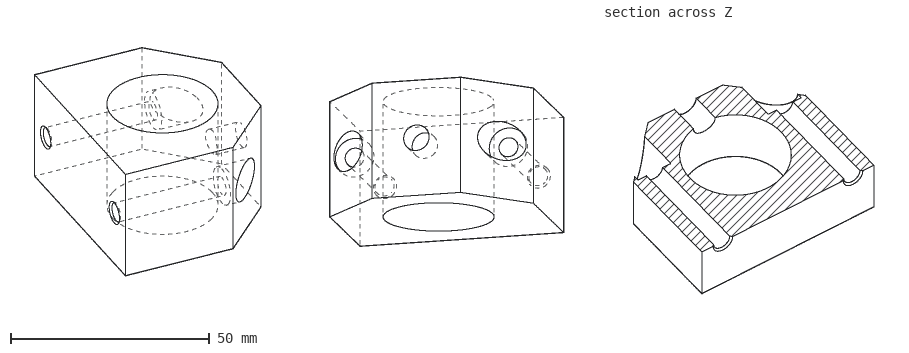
import cadquery as cq

width = 53.0
depth = 45.0
height = 30.0
corner_cut = 15.0

bore_diameter = 28.0
bore_y = 23.0

screw_spacing = 40.0
screw_diameter = 4.95
screw_mouth_diameter = 6.0
screw_mouth_chamfer = (screw_mouth_diameter - screw_diameter) / 2
head_diameter = 10.0
head_seat_y = depth - corner_cut

cross_diameter = 6.6

mid_height = height / 2


def cylinder_along_y(diameter, x, y_start, y_end):
    """Cylinder parallel to Y at mid height, between two Y positions."""
    return cq.Workplane(
        cq.Solid.makeCylinder(
            diameter / 2, y_end - y_start, cq.Vector(x, y_start, mid_height), cq.Vector(0, 1, 0)
        )
    )


def screw_hole(x):
    """Through hole with a chamfered front mouth and a head recess open to the back."""
    mouth = cq.Workplane(
        cq.Solid.makeCone(
            screw_mouth_diameter / 2,
            screw_diameter / 2,
            screw_mouth_chamfer,
            cq.Vector(x, 0, mid_height),
            cq.Vector(0, 1, 0),
        )
    )
    shank = cylinder_along_y(screw_diameter, x, 0, depth)
    head = cylinder_along_y(head_diameter, x, head_seat_y, depth)
    return shank.union(mouth).union(head)


block = (
    cq.Workplane("XY")
    .box(width, depth, height, centered=(True, False, False))
    .edges("|Z and >Y")
    .chamfer(corner_cut)
)

bore = cq.Workplane("XY").center(0, bore_y).circle(bore_diameter / 2).extrude(height)
result = block.cut(bore)

for side in (-1, 1):
    result = result.cut(screw_hole(side * screw_spacing / 2))

result = result.cut(cylinder_along_y(cross_diameter, 0, bore_y, depth))